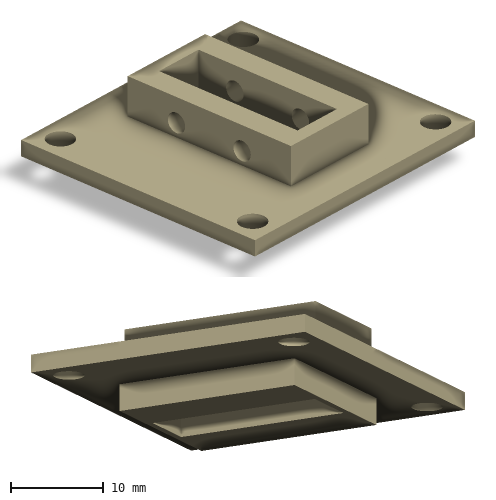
import cadquery as cq

plate_x = 33.8
plate_y = 35.8
plate_thickness = 2.0
mount_hole_diameter = 3.4
mount_spacing_x = 27.78
mount_spacing_y = 29.8

collar_x = 23.6
collar_y = 12.6
collar_height = 4.98

plug_x = 21.6
plug_y = 18.3
plug_depth = 3.0

slot_x = 20.0
slot_y = 6.4

cross_hole_diameter = 2.5
cross_hole_spacing = 9.5
cross_hole_height = 1.8

total_height = plug_depth + plate_thickness + collar_height


def block(size_x, size_y, height, base_z):
    """Box centred on the Z axis, rising from base_z."""
    return cq.Workplane("XY", origin=(0, 0, base_z)).rect(size_x, size_y).extrude(height)


plate = block(plate_x, plate_y, plate_thickness, 0)
mount_holes = (
    cq.Workplane("XY")
    .rect(mount_spacing_x, mount_spacing_y, forConstruction=True)
    .vertices()
    .circle(mount_hole_diameter / 2)
    .extrude(plate_thickness)
)

collar = block(collar_x, collar_y, collar_height, plate_thickness)
cross_holes = (
    cq.Workplane("XZ", origin=(0, 0, plate_thickness + cross_hole_height))
    .pushPoints([(-cross_hole_spacing / 2, 0), (cross_hole_spacing / 2, 0)])
    .circle(cross_hole_diameter / 2)
    .extrude(collar_y / 2, both=True)
)

plug = block(plug_x, plug_y, plug_depth, -plug_depth)
slot = block(slot_x, slot_y, total_height, -plug_depth)

result = plate.union(collar).union(plug).cut(mount_holes).cut(cross_holes).cut(slot)